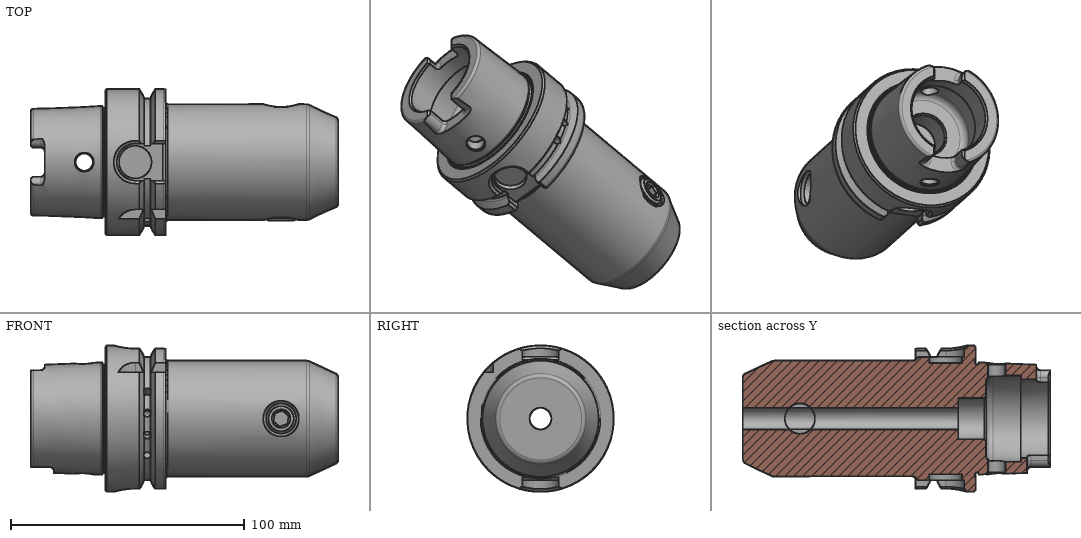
import cadquery as cq
import math


total_length = 132.0
flange_start = 32.0
flange_end = 58.0

taper_start_radius = 23.0
taper_end_radius = 24.2
taper_end = 29.8
taper_edge_fillet = 1.2
taper_land_end = 30.6
neck_radius = 23.2
neck_start = 31.2
neck_end = 31.7
face_relief_depth = 0.4
face_relief_radii = (24.0, 24.7, 25.3)

flange_radius = 63.0 / 2
flange_chamfer = 0.8
flange_back_chamfer = (1.0, 0.1)
groove_center = 50.0
groove_floor_radius = 27.5
groove_step_radius = 28.5
groove_floor_half = 1.3
groove_step_half = 1.7
groove_mouth_half = 3.4

body_radius = 25.0
body_root_fillet = 0.8
nose_start = 118.9
nose_end_radius = 18.9
nose_start_fillet = 2.6
nose_end_fillet = 2.0

bore_radius = 16.9
bore_chamfer = 0.8
bore_straight_depth = 12.7
undercut_radius = 18.5
bore_floor_fillet = 2.9
bore_floor = 27.6
thread_radius = 8.8
thread_chamfer = 0.7
thread_depth = 11.9
through_radius = 4.6

access_hole_center = 23.0
access_hole_radius = 3.7
access_hole_chamfer = 0.4

key_half_width = 6.2
key_lip_radius = 3.0
key_lip_height = 20.9
key_floor_fillet = 1.6
key_mouth_chamfer = 0.9
upper_key_depth = 6.0
lower_key_depth = 9.9

drive_center = 44.9
drive_half_width = 7.9
drive_floor = 26.5
drive_rim_chamfer = 1.3
drive_floor_chamfer = 1.3
drive_recess_radius = 7.0
drive_recess_depth = 2.6

notch_wall = 20.3
notch_floor = 19.9
notch_end_radius = 8.5

groove_hole_radius = 1.6
groove_hole_depth = 6.6
groove_hole_tip = 0.9
groove_hole_angles = [25 - 20 * i for i in range(4)]

screw_center = 107.5
screw_radius = 6.5
screw_face = 25.2
screw_chamfer = 1.0
socket_width = 6.1
socket_depth = 4.0
socket_turn = 20.0
socket_chamfer_radius = 4.0
seat_radius = 7.7
seat_distance = 23.6

overcut = 6.6


def revolve_about_x(profile):
    """Revolve a closed (x, radius) sketch about the X axis."""
    return profile.close().revolve(360, (0, 0, 0), (1, 0, 0))


def x_cylinder(radius, start, end):
    return cq.Workplane("YZ", origin=(start, 0, 0)).circle(radius).extrude(end - start)


def make_outside():
    """Turned outside shape: taper, neck, flange, body and nose."""
    body = cq.Workplane("XZ").moveTo(0, 0)
    body = body.lineTo(0, taper_start_radius)
    body = body.lineTo(taper_end, taper_end_radius)
    body = body.lineTo(taper_land_end, taper_end_radius)
    body = body.lineTo(neck_start, neck_radius).lineTo(neck_end, neck_radius)
    body = body.lineTo(flange_start + face_relief_depth, face_relief_radii[0])
    body = body.lineTo(flange_start + face_relief_depth, face_relief_radii[1])
    body = body.lineTo(flange_start, face_relief_radii[2])
    body = body.lineTo(flange_start, flange_radius - flange_chamfer)
    body = body.lineTo(flange_start + flange_chamfer, flange_radius)
    body = body.lineTo(flange_end - flange_back_chamfer[0], flange_radius)
    body = body.lineTo(flange_end, flange_radius - flange_back_chamfer[1])
    body = body.lineTo(flange_end, body_radius + body_root_fillet)
    body = body.radiusArc((flange_end + body_root_fillet, body_radius), -body_root_fillet)
    body = body.lineTo(nose_start, body_radius)
    body = body.lineTo(total_length, nose_end_radius).lineTo(total_length, 0)
    turned = revolve_about_x(body)
    turned = turned.faces(">X").edges().fillet(nose_end_fillet)
    turned = turned.faces("<X").edges().fillet(taper_edge_fillet)
    nose_edge = cq.selectors.BoxSelector(
        (nose_start - 0.1, -overcut - body_radius, -overcut - body_radius),
        (nose_start + 0.1, overcut + body_radius, overcut + body_radius),
        boundingbox=True,
    )
    return turned.edges(nose_edge).fillet(nose_start_fillet)


def make_groove():
    """Ring cutter for the gripper groove, symmetric about its centre."""
    half_profile = [
        (groove_mouth_half, flange_radius),
        (groove_step_half, groove_step_radius),
        (groove_floor_half, groove_floor_radius),
    ]
    left = [(groove_center - half, radius) for half, radius in half_profile]
    right = [(groove_center + half, radius) for half, radius in reversed(half_profile)]
    above = flange_radius + overcut
    rim = [(groove_center + groove_mouth_half, above), (groove_center - groove_mouth_half, above)]
    return revolve_about_x(cq.Workplane("XZ").polyline(left + right + rim))


def make_bore():
    """Stepped central bore, from the open end to the nose."""
    thread_end = bore_floor + thread_depth
    undercut_end = bore_floor - bore_floor_fillet
    mouth = cq.Workplane("XZ").polyline([
        (0, 0),
        (0, bore_radius + bore_chamfer),
        (bore_chamfer, bore_radius),
        (bore_straight_depth, bore_radius),
        (bore_straight_depth, undercut_radius),
        (undercut_end, undercut_radius),
    ])
    floor = mouth.radiusArc((bore_floor, undercut_radius - bore_floor_fillet), bore_floor_fillet)
    bore = floor.polyline([
        (bore_floor, thread_radius + thread_chamfer),
        (bore_floor + thread_chamfer, thread_radius),
        (thread_end, thread_radius),
        (thread_end, through_radius),
        (total_length, through_radius),
        (total_length, 0),
    ], includeCurrent=True)
    return revolve_about_x(bore)


def make_access_hole():
    """Radial hole through both walls of the taper, chamfered at the outer ends."""
    taper_slope = (taper_end_radius - taper_start_radius) / taper_end
    surface = taper_start_radius + taper_slope * access_hole_center
    sink_radius = access_hole_radius + access_hole_chamfer
    profile = cq.Workplane("XZ", origin=(access_hole_center, 0, 0)).polyline([
        (0, 0),
        (access_hole_radius, 0),
        (access_hole_radius, surface - 2 * access_hole_chamfer),
        (sink_radius, surface - access_hole_chamfer),
        (sink_radius, surface + overcut),
        (0, surface + overcut),
    ]).close()
    upper = profile.revolve(360, (0, 0, 0), (0, 1, 0))
    return upper.union(upper.mirror("XY"))


def make_key_slot(depth):
    """Slot in the +Z side of the taper mouth, with rounded outer lips and a filleted floor."""
    wall = key_half_width
    lip_start = key_lip_height - key_lip_radius
    lip_end = wall + key_lip_radius
    top = key_lip_height + overcut
    slot = (
        cq.Workplane("YZ", origin=(-overcut, 0, 0))
        .moveTo(-wall, 0)
        .lineTo(-wall, lip_start)
        .radiusArc((-lip_end, key_lip_height), -key_lip_radius)
        .lineTo(-taper_start_radius, key_lip_height)
        .lineTo(-taper_start_radius, top)
        .lineTo(taper_start_radius, top)
        .lineTo(taper_start_radius, key_lip_height)
        .lineTo(lip_end, key_lip_height)
        .radiusArc((wall, lip_start), -key_lip_radius)
        .lineTo(wall, 0)
        .close()
        .extrude(overcut + depth)
    )
    floor_edges = slot.faces(">X").edges("not(<Z or >Z)")
    slot = floor_edges.fillet(key_floor_fillet)
    mouth = (
        cq.Workplane("XY")
        .polyline([
            (0, -wall - key_mouth_chamfer),
            (key_mouth_chamfer, -wall),
            (key_mouth_chamfer, wall),
            (0, wall + key_mouth_chamfer),
        ])
        .close()
        .extrude(top)
    )
    return slot.union(mouth)


def make_drive_slot():
    """Round-ended slot in the +Z side of the flange with a chamfered rim and a round recess."""
    height = flange_radius + overcut - drive_floor
    back = flange_end + overcut
    straight_slot = (
        cq.Workplane("XY", origin=(0, 0, drive_floor))
        .moveTo(back, -drive_half_width)
        .lineTo(drive_center, -drive_half_width)
        .radiusArc((drive_center, drive_half_width), drive_half_width)
        .lineTo(back, drive_half_width)
        .close()
        .extrude(height)
    )
    disc = x_cylinder(flange_radius, flange_start, flange_end)
    rim_edges = cq.selectors.BoxSelector(
        (flange_start + overcut / 2, -drive_half_width - 0.1, flange_radius - 2.0),
        (flange_end, drive_half_width + 0.1, flange_radius),
    )
    slotted_disc = disc.cut(straight_slot).edges(rim_edges).chamfer(drive_rim_chamfer)
    slot = disc.cut(slotted_disc)
    recess = (
        cq.Workplane("XY", origin=(drive_center, 0, drive_floor - drive_recess_depth))
        .circle(drive_recess_radius)
        .extrude(height)
    )
    edge_start = flange_end - drive_floor_chamfer
    floor_chamfer = (
        cq.Workplane("XZ", origin=(0, -drive_half_width, 0))
        .polyline([
            (edge_start, drive_floor),
            (flange_end, drive_floor - drive_floor_chamfer),
            (flange_end, drive_floor),
        ])
        .close()
        .extrude(-2 * drive_half_width)
    )
    return slot.union(recess).union(floor_chamfer)


def make_notch():
    """Square-cornered notch on the -Y, +Z shoulder of the flange with a milled round end."""
    mill_center = -notch_wall - notch_end_radius
    height = flange_radius - notch_floor
    round_end = (
        cq.Workplane("XY", origin=(drive_center, mill_center, notch_floor))
        .circle(notch_end_radius)
        .extrude(height)
    )
    run_out = (
        cq.Workplane("XY", origin=(drive_center, mill_center, notch_floor))
        .rect(flange_end + overcut - drive_center, 2 * notch_end_radius)
        .extrude(height)
        .translate(((flange_end + overcut - drive_center) / 2, 0, 0))
    )
    return round_end.union(run_out)


def make_groove_hole(angle):
    """Pointed hole drilled radially into the groove floor; angle is measured from -Y towards +Z."""
    bottom = groove_floor_radius - groove_hole_depth
    hole = (
        cq.Workplane("XY", origin=(groove_center, 0, 0))
        .polyline([
            (0, -bottom + groove_hole_tip),
            (groove_hole_radius, -bottom),
            (groove_hole_radius, -groove_step_radius),
            (0, -groove_step_radius),
        ])
        .close()
        .revolve(360, (0, 0, 0), (0, 1, 0))
    )
    return hole.rotate((0, 0, 0), (1, 0, 0), -angle)


def make_cross_hole():
    """Screw hole across the body, with a wider seat at both ends."""
    seat_step = seat_radius - screw_radius
    outer = body_radius + overcut
    half = (
        cq.Workplane("XY", origin=(screw_center, 0, 0))
        .polyline([
            (0, 0),
            (screw_radius, 0),
            (screw_radius, -seat_distance + seat_step),
            (seat_radius, -seat_distance),
            (seat_radius, -outer),
            (0, -outer),
        ])
        .close()
        .revolve(360, (0, 0, 0), (0, 1, 0))
    )
    return half.union(half.mirror("XZ"))


def make_holder():
    holder = make_outside().cut(make_groove()).cut(make_bore()).cut(make_access_hole())
    holder = holder.cut(make_key_slot(upper_key_depth))
    holder = holder.cut(make_key_slot(lower_key_depth).mirror("XY"))
    drive_slot = make_drive_slot()
    holder = holder.cut(drive_slot).cut(drive_slot.mirror("XY"))
    holder = holder.cut(make_notch())
    for angle in groove_hole_angles:
        holder = holder.cut(make_groove_hole(angle))
    return holder.cut(make_cross_hole())


def make_screw():
    """Clamping screw in the -Y side, ending at the central bore, with a hexagon socket."""
    screw = (
        cq.Workplane("XZ", origin=(screw_center, 0, 0))
        .circle(screw_radius)
        .extrude(screw_face)
        .faces("<Y")
        .chamfer(screw_chamfer)
    )
    socket = (
        cq.Workplane("XZ", origin=(screw_center, -screw_face, 0))
        .polygon(6, socket_width / math.cos(math.pi / 6))
        .extrude(-socket_depth)
        .rotate((screw_center, 0, 0), (screw_center, 1, 0), -socket_turn)
    )
    sink_depth = socket_chamfer_radius - socket_width / 2
    sink = (
        cq.Workplane("XZ", origin=(screw_center, -screw_face, 0))
        .circle(socket_chamfer_radius)
        .workplane(offset=-sink_depth)
        .circle(socket_width / 2)
        .loft()
    )
    return screw.cut(socket).cut(sink).cut(x_cylinder(through_radius, 0, total_length))


holder = make_holder()
screw = make_screw()
result = cq.Compound.makeCompound([holder.val(), screw.val()])